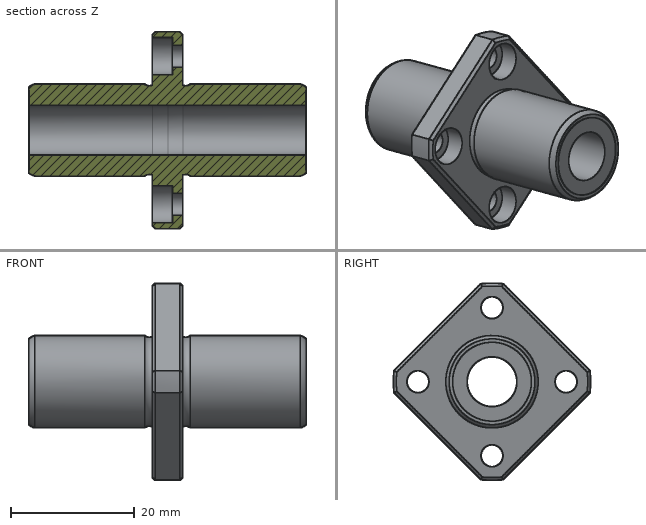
import cadquery as cq
import math


length = 45.0
sleeve_radius = 15.0 / 2
bore_radius = 8.0 / 2

end_round_length = 1.0
end_round_drop = 0.55
end_round_radius = 2.7

seal_recess_radius = 12.8 / 2
seal_recess_depth = 0.1

flange_thickness = 5.0
flange_square = 25.0
flange_diameter = 32.0
flange_chamfer = 0.5

groove_width = 1.2
groove_depth = 0.25
groove_bottom_offset = 0.75

screw_circle_radius = 24.0 / 2
screw_hole_diameter = 3.5
counterbore_diameter = 6.0
counterbore_depth = 3.3
screw_count = 4

half_length = length / 2
half_flange = flange_thickness / 2
groove_start = half_flange + groove_width
groove_bottom = groove_start - groove_bottom_offset
groove_arc_radius = (groove_bottom_offset**2 + groove_depth**2) / (2 * groove_depth)
groove_arc_center = sleeve_radius - groove_depth + groove_arc_radius


def groove_radius_at(x):
    """Radius of the groove surface at distance x from the flange centre."""
    return groove_arc_center - math.sqrt(groove_arc_radius**2 - (x - groove_bottom) ** 2)


def half_sleeve():
    """The +X half of the sleeve, revolved from its section."""
    end_radius = sleeve_radius - end_round_drop
    section = (
        cq.Workplane("XY")
        .moveTo(0, bore_radius)
        .lineTo(half_length - seal_recess_depth, bore_radius)
        .lineTo(half_length - seal_recess_depth, seal_recess_radius)
        .lineTo(half_length, seal_recess_radius)
        .lineTo(half_length, end_radius)
        .radiusArc((half_length - end_round_length, sleeve_radius), -end_round_radius)
        .lineTo(groove_start, sleeve_radius)
        .threePointArc(
            (groove_bottom, sleeve_radius - groove_depth),
            (half_flange, groove_radius_at(half_flange)),
        )
        .lineTo(0, groove_radius_at(half_flange))
        .close()
    )
    return section.revolve(360, (0, 0, 0), (1, 0, 0))


def flange():
    """Chamfered flange plate with its bore and counterbored screw holes."""
    left_face = cq.Workplane("YZ", origin=(-half_flange, 0, 0))
    tilted_face = left_face.transformed(rotate=(0, 0, 45))
    square = tilted_face.rect(flange_square, flange_square).extrude(flange_thickness)
    disc = left_face.circle(flange_diameter / 2).extrude(flange_thickness)
    plate = square.intersect(disc).faces("<X or >X").chamfer(flange_chamfer)
    bored = plate.cut(left_face.circle(bore_radius).extrude(flange_thickness))
    return (
        bored.faces("<X")
        .workplane(origin=(-half_flange, 0, 0))
        .polarArray(screw_circle_radius, 0, 360, screw_count)
        .cboreHole(screw_hole_diameter, counterbore_diameter, counterbore_depth)
    )


right_half = half_sleeve()
left_half = right_half.mirror("YZ")
result = flange().union(right_half).union(left_half)